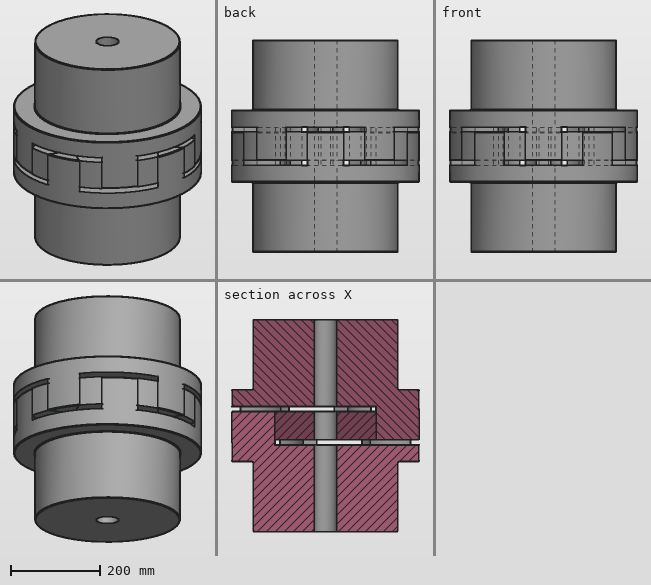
import cadquery as cq
import math


total_length = 475.0
flange_radius = 210.0
flange_span = 161.5
flange_gap = 85.5
neck_radius = 162.5
bore_radius = 25.0
edge_chamfer = 2.0

jaw_count = 5
jaw_inner_radius = 113.5
first_jaw_angle = 18.0

spider_thickness = 63.5
leg_thickness = 76.0
leg_middle_radius = 164.5
flank_radius = 82.0
overrun = 4.8

half_length = total_length / 2
flange_outer_z = flange_span / 2
flange_inner_z = flange_gap / 2
spider_half = spider_thickness / 2
jaw_pitch = 360.0 / jaw_count
clearance_radius = flange_radius + overrun
prism_radius = clearance_radius + overrun
leg_offset_angle = jaw_pitch / 4

flank_center_offset = flank_radius - leg_thickness / 2
flank_center_distance = math.hypot(leg_middle_radius, flank_center_offset)
flank_center_angle = math.radians(leg_offset_angle) + math.atan2(flank_center_offset, leg_middle_radius)


def flank_point(radius, side):
    """Point at this distance from the axis on the +Y (side = 1) or -Y (side = -1) jaw flank."""
    cosine = (radius**2 + flank_center_distance**2 - flank_radius**2) / (2 * radius * flank_center_distance)
    angle = flank_center_angle - math.acos(cosine)
    return (radius * math.cos(angle), side * radius * math.sin(angle))


def make_jaw_prism(bottom_z, top_z):
    """Prism of one jaw pointing along +X, with concave flanks, running out past the flange rim."""
    middle_radius = (jaw_inner_radius + prism_radius) / 2
    return (
        cq.Workplane("XY", origin=(0, 0, bottom_z))
        .moveTo(*flank_point(jaw_inner_radius, -1))
        .threePointArc(flank_point(middle_radius, -1), flank_point(prism_radius, -1))
        .threePointArc((prism_radius, 0), flank_point(prism_radius, 1))
        .threePointArc(flank_point(middle_radius, 1), flank_point(jaw_inner_radius, 1))
        .threePointArc((jaw_inner_radius, 0), flank_point(jaw_inner_radius, -1))
        .close()
        .extrude(top_z - bottom_z)
    )


def turn(shape, angle):
    """Rotate about the coupling axis."""
    return shape.rotate((0, 0, 0), (0, 0, 1), angle)


def flip(shape):
    """Turn upside down about the X axis."""
    return shape.rotate((0, 0, 0), (1, 0, 0), 180)


def make_hub_blank():
    """Bored neck with a full-height flange that reaches up to the jaw tips."""
    return (
        cq.Workplane("XZ")
        .moveTo(bore_radius, -half_length)
        .lineTo(neck_radius - edge_chamfer, -half_length)
        .lineTo(neck_radius, -half_length + edge_chamfer)
        .lineTo(neck_radius, -flange_outer_z - edge_chamfer)
        .lineTo(neck_radius + edge_chamfer, -flange_outer_z)
        .lineTo(flange_radius - edge_chamfer, -flange_outer_z)
        .lineTo(flange_radius, -flange_outer_z + edge_chamfer)
        .lineTo(flange_radius, spider_half - edge_chamfer)
        .lineTo(flange_radius - edge_chamfer, spider_half)
        .lineTo(bore_radius, spider_half)
        .close()
        .revolve(360, (0, 0, 0), (0, 1, 0))
    )


def make_lower_hub():
    """Hub blank with everything above the flange face cleared away except the jaws."""
    clearance = cq.Workplane("XY", origin=(0, 0, -flange_inner_z)).circle(clearance_radius).extrude(flange_gap)
    jaw_prism = make_jaw_prism(-flange_inner_z, flange_inner_z)
    for index in range(jaw_count):
        clearance = clearance.cut(turn(jaw_prism, first_jaw_angle + index * jaw_pitch))
    return make_hub_blank().cut(clearance)


def make_spider():
    """Disc with a pocket for each jaw of both hubs, which leaves a core with barrel-shaped legs."""
    spider = (
        cq.Workplane("XY", origin=(0, 0, -spider_half))
        .circle(flange_radius)
        .circle(bore_radius)
        .extrude(spider_thickness)
    )
    pocket = make_jaw_prism(-flange_inner_z, flange_inner_z)
    for index in range(jaw_count):
        lower_pocket = turn(pocket, first_jaw_angle + index * jaw_pitch)
        spider = spider.cut(lower_pocket).cut(flip(lower_pocket))
    return spider


lower_hub = make_lower_hub()
upper_hub = flip(make_lower_hub())
spider = make_spider()

result = cq.Compound.makeCompound([lower_hub.solids().val(), upper_hub.solids().val(), spider.solids().val()])